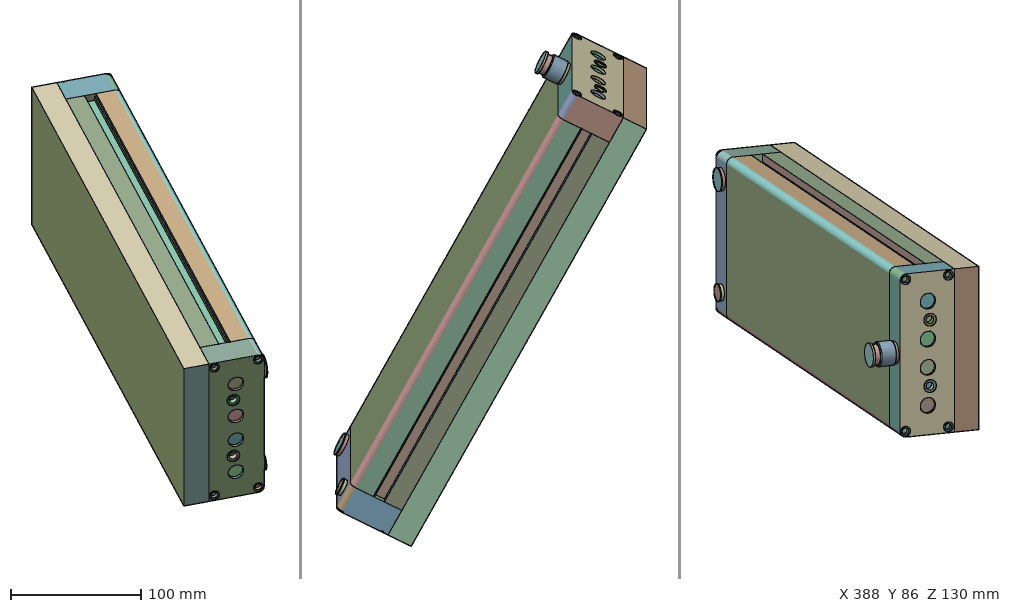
import cadquery as cq

LENGTH = 388.0
HEIGHT = 130.0
PAD_DEPTH = 20.0
BLOCK_DEPTH = 64.8
CAP_LENGTH = 23.0
BACK_FILLET = 5.0
MID_Z = HEIGHT / 2
HOUSING_LENGTH = LENGTH - 2 * CAP_LENGTH

SLOT_FRONT_Y = 35.5
SLOT_BACK_Y = 44.5
SLOT_DEPTH = 6.2
LEDGE_WIDTH = 1.0
LEDGE_DEPTH = 2.7

SCREW_INSET = 4.5
SCREW_BACK_Y = BLOCK_DEPTH - SCREW_INSET
SCREW_FRONT_Y = PAD_DEPTH + SCREW_INSET
SCREW_RADIUS = 4.0
SCREW_RECESS = 0.8
SOCKET_RADIUS = 2.52
SOCKET_DEPTH = 3.0

PORT_Y = 42.0
PORT_RADIUS = 6.2
PORT_DEPTH = 2.5
PORT_OUTER_OFFSET = 41.5
PORT_INNER_OFFSET = 11.3
SMALL_PORT_Y = 40.0
SMALL_PORT_OFFSET = 26.5
SMALL_PORT_RADIUS = 5.0
SMALL_PORT_DEPTH = 0.8
SMALL_PORT_BORE_RADIUS = 3.0
SMALL_PORT_BORE_DEPTH = 4.5

CONNECTOR_X = 11.3
COLLAR_RADIUS = 9.0
COLLAR_END = 67.0
SLEEVE_RADIUS = 9.7
SLEEVE_END = 80.0
SLEEVE_CHAMFER = 0.8
NECK_RADIUS = 8.0
NECK_END = 84.2
TIP_RADIUS = 9.5
TIP_END = 86.0

PLUG_X = LENGTH - 11.5
PLUG_OFFSET = 45.0
PLUG_STEM_END = 67.5
PLUG_END = 68.3
PLUG_RIM = 0.5
LARGE_PLUG_RADIUS = 9.5
SMALL_PLUG_RADIUS = 7.0


def block(x, y, z, length, depth, height):
    return cq.Workplane("XY").box(length, depth, height, centered=False).translate((x, y, z))


def rod_y(x, z, radius, start, end):
    return cq.Workplane(cq.Solid.makeCylinder(
        radius, end - start, cq.Vector(x, start, z), cq.Vector(0, 1, 0)))


def rear_block(x, length):
    """Length of the profile behind the pad, with its two back edges rounded."""
    body = block(x, PAD_DEPTH, 0, length, BLOCK_DEPTH - PAD_DEPTH, HEIGHT)
    return body.edges("|X and >Y").fillet(BACK_FILLET)


def recess_x(y, z, radius, depth):
    return cq.Workplane(cq.Solid.makeCylinder(
        radius, depth, cq.Vector(0, y, z), cq.Vector(1, 0, 0)))


def side_slot():
    """Cutter for the slot in the top of the housing: full width down to the ledge, narrower below it."""
    width = SLOT_BACK_Y - SLOT_FRONT_Y
    wide = block(CAP_LENGTH, SLOT_FRONT_Y, HEIGHT - LEDGE_DEPTH, HOUSING_LENGTH, width, LEDGE_DEPTH)
    narrow = block(CAP_LENGTH, SLOT_FRONT_Y, HEIGHT - SLOT_DEPTH,
                   HOUSING_LENGTH, width - LEDGE_WIDTH, SLOT_DEPTH)
    return wide.union(narrow)


def make_pad():
    return block(0, 0, 0, LENGTH, PAD_DEPTH, HEIGHT)


def make_housing():
    slot = side_slot()
    return rear_block(CAP_LENGTH, HOUSING_LENGTH).cut(slot).cut(slot.mirror("XY", (0, 0, MID_Z)))


def stepped_hole(y, z, radius, depth, bore_radius, bore_depth):
    """Shallow counterbore in the end face with a narrower blind bore below it."""
    bore = recess_x(y, z, bore_radius, depth + bore_depth)
    return recess_x(y, z, radius, depth).union(bore)


def cut_screw_holes(cap):
    for y in (SCREW_FRONT_Y, SCREW_BACK_Y):
        for z in (SCREW_INSET, HEIGHT - SCREW_INSET):
            cap = cap.cut(stepped_hole(y, z, SCREW_RADIUS, SCREW_RECESS, SOCKET_RADIUS, SOCKET_DEPTH))
    return cap


def cut_ports(cap):
    for side in (-1, 1):
        for offset in (PORT_OUTER_OFFSET, PORT_INNER_OFFSET):
            cap = cap.cut(recess_x(PORT_Y, MID_Z + side * offset, PORT_RADIUS, PORT_DEPTH))
        z = MID_Z + side * SMALL_PORT_OFFSET
        cap = cap.cut(stepped_hole(SMALL_PORT_Y, z, SMALL_PORT_RADIUS, SMALL_PORT_DEPTH,
                                   SMALL_PORT_BORE_RADIUS, SMALL_PORT_BORE_DEPTH))
    return cap


def make_plain_cap():
    """Cap at the -X end, without fittings."""
    return cut_ports(cut_screw_holes(rear_block(0, CAP_LENGTH)))


def add_connector(cap):
    sleeve = rod_y(CONNECTOR_X, MID_Z, SLEEVE_RADIUS, COLLAR_END, SLEEVE_END)
    sleeve = sleeve.faces(">Y").chamfer(SLEEVE_CHAMFER)
    cap = cap.union(rod_y(CONNECTOR_X, MID_Z, COLLAR_RADIUS, BLOCK_DEPTH, COLLAR_END))
    cap = cap.union(sleeve)
    cap = cap.union(rod_y(CONNECTOR_X, MID_Z, NECK_RADIUS, SLEEVE_END, NECK_END))
    return cap.union(rod_y(CONNECTOR_X, MID_Z, TIP_RADIUS, NECK_END, TIP_END))


def add_plug(cap, z, radius):
    cap = cap.union(rod_y(PLUG_X, z, radius - PLUG_RIM, BLOCK_DEPTH, PLUG_STEM_END))
    return cap.union(rod_y(PLUG_X, z, radius, PLUG_STEM_END, PLUG_END))


def make_plug_cap():
    """Cap at the +X end: a mirrored plain cap with two plugs."""
    cap = make_plain_cap().mirror("YZ", (LENGTH / 2, 0, 0))
    cap = add_plug(cap, MID_Z + PLUG_OFFSET, LARGE_PLUG_RADIUS)
    return add_plug(cap, MID_Z - PLUG_OFFSET, SMALL_PLUG_RADIUS)


pad = make_pad()
housing = make_housing()
connector_cap = add_connector(make_plain_cap())
plug_cap = make_plug_cap()

result = cq.Compound.makeCompound([pad.val(), housing.val(), connector_cap.val(), plug_cap.val()])